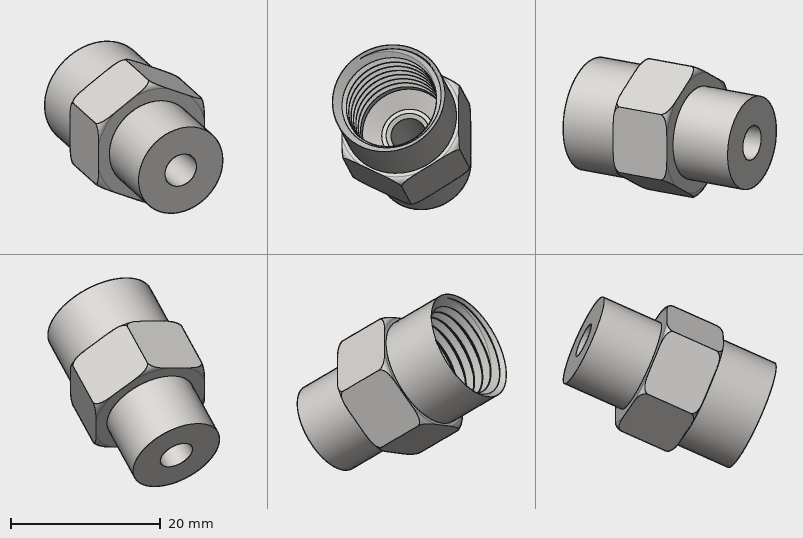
import cadquery as cq
import math

length = 24.83
mouth_diameter = 15.3
spigot_diameter = 12.66

hex_start = 8.0
hex_end = 16.35
hex_flats = 15.9
hex_corner_diameter = hex_flats / math.cos(math.pi / 6)
corner_rounding = 1.02

bore_diameter = 4.72
seat_inner_diameter = 7.1
relief_diameter = 5.9
drill_half_angle = 59.0

thread_end = 11.85
thread_end_radius = 5.88
taper = 1 / 32
pitch = 1.42
thread_half_angle = 30.0
crest_width = 0.12
root_width = 0.1
thread_start_angle = -150.0
groove_overlap = 0.07


def crest_radius(x):
    return thread_end_radius + (thread_end - x) * taper


countersink_depth = (mouth_diameter / 2 - crest_radius(0)) / (1 - taper)


def cylinder(start, end, diameter):
    return cq.Workplane("YZ", origin=(start, 0, 0)).circle(diameter / 2).extrude(end - start)


def revolve_about_x(profile):
    return profile.close().revolve(360, (0, 0, 0), (1, 0, 0))


def hexagon():
    prism = (
        cq.Workplane("YZ", origin=(hex_start, 0, 0))
        .polygon(6, hex_corner_diameter)
        .extrude(hex_end - hex_start)
        .rotate((0, 0, 0), (1, 0, 0), 90)
    )
    rounded_blank = (
        cylinder(hex_start, hex_end, hex_corner_diameter).edges("%CIRCLE").fillet(corner_rounding)
    )
    return prism.intersect(rounded_blank)


def bore():
    cone_slope = math.tan(math.radians(drill_half_angle))
    seat = thread_end + (thread_end_radius - seat_inner_diameter / 2) / cone_slope
    relief_end = seat + (relief_diameter - bore_diameter) / 2 / cone_slope
    return revolve_about_x(
        cq.Workplane("XY")
        .lineTo(0, mouth_diameter / 2)
        .lineTo(countersink_depth, crest_radius(countersink_depth))
        .lineTo(thread_end, thread_end_radius)
        .lineTo(seat, seat_inner_diameter / 2)
        .lineTo(seat, relief_diameter / 2)
        .lineTo(relief_end, bore_diameter / 2)
        .lineTo(length, bore_diameter / 2)
        .lineTo(length, 0)
    )


def thread_groove():
    flank_slope = math.tan(math.radians(thread_half_angle))
    mouth_half = (pitch - crest_width) / 2
    root_half = root_width / 2
    depth = (mouth_half - root_half) / flank_slope
    inner_half = mouth_half + groove_overlap * flank_slope
    profile = [
        (thread_end_radius - groove_overlap, -inner_half),
        (thread_end_radius + depth, -root_half),
        (thread_end_radius + depth, root_half),
        (thread_end_radius - groove_overlap, inner_half),
    ]
    taper_angle = math.degrees(math.atan(taper))
    helices = [
        cq.Wire.makeHelix(pitch, thread_end, radius, center=cq.Vector(0, 0, z), angle=taper_angle)
        for radius, z in profile
    ]
    next_helices = helices[1:] + helices[:1]
    faces = [cq.Face.makeRuledSurface(one, other) for one, other in zip(helices, next_helices)]
    for end_points in ([h.startPoint() for h in helices], [h.endPoint() for h in helices]):
        faces.append(cq.Face.makeFromWires(cq.Wire.makePolygon(end_points, close=True)))
    groove = cq.Solid.makeSolid(cq.Shell.makeShell(faces))
    return (
        cq.Workplane(groove).rotate((0, 0, 0), (0, 1, 0), -90)
        .translate((thread_end - mouth_half, 0, 0))
        .rotate((0, 0, 0), (1, 0, 0), thread_start_angle)
    )


body = cylinder(0, hex_end, mouth_diameter).union(cylinder(hex_start, length, spigot_diameter))
body = body.union(hexagon())
result = body.cut(thread_groove()).cut(bore())